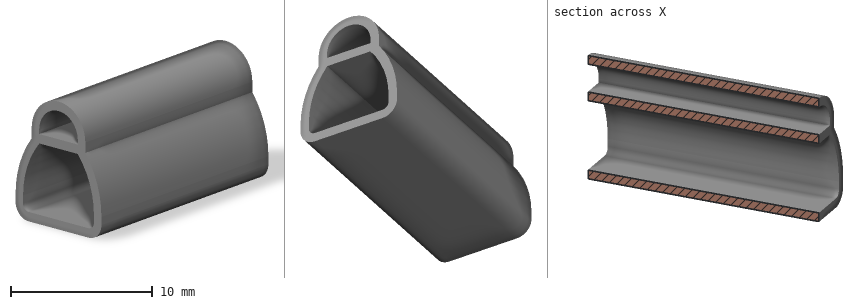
import cadquery as cq
import math

length = 18.0
base_width = 8.0
height = 9.5
wall = 0.7
dome_radius = 2.5
corner_radius = 1.2
flank_start_z = 1.8
flank_end_z = 6.23
shelf_top_z = 6.7

half_width = base_width / 2
dome_center_z = height - dome_radius
shelf_bottom_z = shelf_top_z - wall
flank_rise = flank_end_z - flank_start_z
flank_inset = half_width - dome_radius
flank_radius = (flank_rise**2 + flank_inset**2) / (2 * flank_inset)
flank_center_x = half_width - flank_radius


def arc_x(radius, z):
    """X on the right flank arc of the given radius at height z."""
    return flank_center_x + math.sqrt(radius**2 - (z - flank_start_z) ** 2)


def extrude_profile(profile):
    """Extrude an XZ profile symmetrically about the XZ plane."""
    return profile.close().extrude(length / 2, both=True)


def lower_body(offset, top_z):
    """Lower chamber outline, moved inward by offset and cut flat at top_z."""
    side_x = half_width - offset
    radius = flank_radius - offset
    corner = corner_radius - offset
    floor_x = half_width - corner_radius
    diagonal = corner * math.sqrt(0.5)
    corner_mid_x = floor_x + diagonal
    corner_mid_z = corner_radius - diagonal
    mid_z = (flank_start_z + top_z) / 2
    mid_x = arc_x(radius, mid_z)
    top_x = arc_x(radius, top_z)
    profile = (
        cq.Workplane("XZ")
        .moveTo(-floor_x, offset)
        .lineTo(floor_x, offset)
        .threePointArc((corner_mid_x, corner_mid_z), (side_x, corner_radius))
        .lineTo(side_x, flank_start_z)
        .threePointArc((mid_x, mid_z), (top_x, top_z))
        .lineTo(-top_x, top_z)
        .threePointArc((-mid_x, mid_z), (-side_x, flank_start_z))
        .lineTo(-side_x, corner_radius)
        .threePointArc((-corner_mid_x, corner_mid_z), (-floor_x, offset))
    )
    return extrude_profile(profile)


def upper_body(offset, bottom_z):
    """Round-topped upper tube, moved inward by offset, starting at bottom_z."""
    radius = dome_radius - offset
    profile = (
        cq.Workplane("XZ")
        .moveTo(-radius, bottom_z)
        .lineTo(radius, bottom_z)
        .lineTo(radius, dome_center_z)
        .threePointArc((0, dome_center_z + radius), (-radius, dome_center_z))
    )
    return extrude_profile(profile)


outer = lower_body(0, flank_end_z).union(upper_body(0, flank_end_z))
lower_chamber = lower_body(wall, shelf_bottom_z)
upper_chamber = upper_body(wall, shelf_top_z)

result = outer.cut(lower_chamber).cut(upper_chamber)